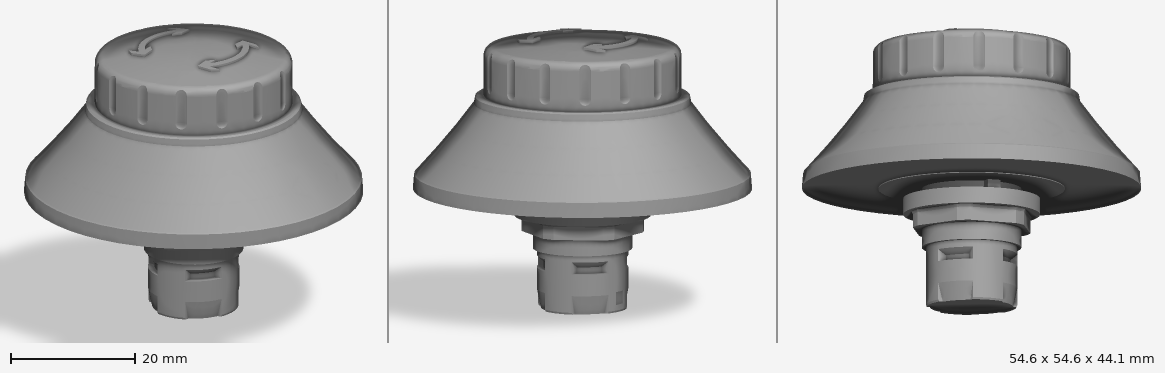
import cadquery as cq
import math

body_chamfer_height = 0.32
collar_bottom = 9.7
nut_bottom = 12.5
nut_flare_start = 14.65
washer_bottom = 15.1
washer_top = 17.7
gasket_bottom = 19.27
skirt_bottom = 19.4
skirt_rim_top = 22.0
skirt_chamfer_height = 0.17
shoulder_bottom = 33.4
shoulder_top = 34.7
knob_fillet_start = 41.27
knob_edge_top = 42.7
dome_top = 43.92
overall_height = 44.09

body_radius = 14.7 / 2
body_tip_radius = 7.22
collar_radius = 16.01 / 2
washer_radius = 22 / 2
gasket_radius = 30 / 2
skirt_radius = 54.6 / 2
skirt_rim_top_radius = 27.1
cone_bottom_radius = 26.9
cone_top_radius = 17.5
cone_hollow = 0.22
shoulder_top_radius = 17.3
shoulder_flat_radius = 16.95
shoulder_chamfer_height = 0.2
knob_radius = 31.8 / 2
knob_edge_radius = 14.65

nut_across_flats = 18.0
nut_corner_radius = 9.85
nut_flare = 0.2

key_reach = 9.5
key_width = 2.2

stem_feature_angles = [45, 135, 225, 315]
web_half_width = 2.6
wall_flare_angle = 9
window_bottom = 6.6
window_top = 8.55
window_inner_top = 7.6
window_floor_radius = 6.28
ramp_height = 3.05
ramp_tip_radius = 6.7

recess_size = 2.15
recess_center_height = 2.25
recess_depth = 0.3

groove_count = 15
groove_radius = 1.3
groove_depth = 0.42
groove_ball_height = 36.65

arrow_outer_mid_x = 8.82
arrow_inner_mid_x = 7.81
arrow_corner = (5.0, 6.95)
arrow_top_shoulder_x = 7.5
arrow_top_barb = (8.6, 6.05)
arrow_outer_root_x = 6.66
arrow_inner_root = (6.13, 4.95)
arrow_inner_barb_y = 3.35
arrow_side_shoulder_y = 4.6


def dome_rise_at(radius):
    """Height of the spherical dome above the knob edge at the given distance from the axis."""
    rise = dome_top - knob_edge_top
    sphere_radius = (knob_edge_radius**2 + rise**2) / (2 * rise)
    return rise - sphere_radius + math.sqrt(sphere_radius**2 - radius**2)


def turned_body():
    """Stem, washer, skirt, shoulder and domed knob as one revolved profile."""
    cone_run = cone_bottom_radius - cone_top_radius
    cone_rise = shoulder_bottom - skirt_rim_top
    cone_length = math.hypot(cone_run, cone_rise)
    cone_mid_radius = (cone_bottom_radius + cone_top_radius) / 2 - cone_hollow * cone_rise / cone_length
    cone_mid_height = (skirt_rim_top + shoulder_bottom) / 2 - cone_hollow * cone_run / cone_length
    dome_mid_radius = knob_edge_radius / 2
    dome_mid_height = knob_edge_top + dome_rise_at(dome_mid_radius)
    profile = (
        cq.Workplane("XZ")
        .moveTo(0, 0)
        .lineTo(body_tip_radius, 0)
        .lineTo(body_radius, body_chamfer_height)
        .lineTo(body_radius, collar_bottom)
        .lineTo(collar_radius, collar_bottom)
        .lineTo(collar_radius, washer_bottom)
        .lineTo(washer_radius, washer_bottom)
        .lineTo(washer_radius, washer_top)
        .lineTo(collar_radius, washer_top)
        .lineTo(collar_radius, gasket_bottom)
        .lineTo(gasket_radius, gasket_bottom)
        .lineTo(gasket_radius, skirt_bottom)
        .lineTo(skirt_radius, skirt_bottom)
        .lineTo(skirt_rim_top_radius, skirt_rim_top - skirt_chamfer_height)
        .lineTo(cone_bottom_radius, skirt_rim_top)
        .threePointArc((cone_mid_radius, cone_mid_height), (cone_top_radius, shoulder_bottom))
        .lineTo(shoulder_top_radius, shoulder_top - shoulder_chamfer_height)
        .lineTo(shoulder_flat_radius, shoulder_top)
        .lineTo(knob_radius, shoulder_top)
        .lineTo(knob_radius, knob_fillet_start)
        .tangentArcPoint((knob_edge_radius, knob_edge_top), relative=False)
        .threePointArc((dome_mid_radius, dome_mid_height), (0, dome_top))
        .close()
    )
    return profile.revolve(360, (0, 0), (0, 1))


def lifted_dome(lift):
    """Knob-edge disc under a copy of the dome surface raised by the given lift."""
    half_radius = knob_edge_radius / 2
    half_height = knob_edge_top + dome_rise_at(half_radius)
    return (
        cq.Workplane("XZ")
        .moveTo(0, shoulder_top)
        .lineTo(knob_edge_radius, shoulder_top)
        .lineTo(knob_edge_radius, knob_edge_top + lift)
        .threePointArc((half_radius, half_height + lift), (0, dome_top + lift))
        .close()
        .revolve(360, (0, 0), (0, 1))
    )


def nut():
    """Hexagon with corners on the Y axis, turned round at the corners and flared at the washer."""
    hex_diameter = nut_across_flats / math.cos(math.pi / 6)
    straight_height = nut_flare_start - nut_bottom
    flare_height = washer_bottom - nut_flare_start
    flare_angle = math.degrees(math.atan2(nut_flare, flare_height))
    hexagon = (
        cq.Workplane("XY", origin=(0, 0, nut_bottom))
        .transformed(rotate=(0, 0, 90))
        .polygon(6, hex_diameter)
        .extrude(straight_height)
    )
    flare = (
        cq.Workplane("XY", origin=(0, 0, nut_flare_start))
        .transformed(rotate=(0, 0, 90))
        .polygon(6, hex_diameter)
        .extrude(flare_height, taper=-flare_angle)
    )
    corner_turning = (
        cq.Workplane("XZ")
        .moveTo(0, nut_bottom)
        .lineTo(nut_corner_radius, nut_bottom)
        .lineTo(nut_corner_radius, nut_flare_start)
        .lineTo(nut_corner_radius + nut_flare, washer_bottom)
        .lineTo(0, washer_bottom)
        .close()
        .revolve(360, (0, 0), (0, 1))
    )
    return hexagon.union(flare).intersect(corner_turning)


def key():
    """Rectangular key between the washer and the skirt."""
    return (
        cq.Workplane("XY", origin=(0, 0, washer_top))
        .rect(key_reach, key_width)
        .extrude(skirt_bottom - washer_top)
        .translate((key_reach / 2, 0, 0))
    )


def ring_sector(section, angle):
    """Revolved (radius, height) section, limited to the wedge between two webs of the stem.

    The wedge opens at the given angle. Its walls start on the stem surface at the half width
    of the webs on the X and Y axes and lean towards each other as they go inwards.
    """
    lean = math.tan(math.radians(wall_flare_angle))
    wall_start = math.sqrt(body_radius**2 - web_half_width**2)
    apex = (web_half_width + wall_start * lean) / (1 + lean)
    near_edge = web_half_width - (washer_radius - wall_start) * lean
    ring = cq.Workplane("XZ").polyline(section).close().revolve(360, (0, 0), (0, 1))
    wedge = (
        cq.Workplane("XY")
        .moveTo(apex, apex)
        .lineTo(washer_radius, near_edge)
        .lineTo(washer_radius, washer_radius)
        .lineTo(near_edge, washer_radius)
        .close()
        .extrude(washer_top)
    )
    return ring.intersect(wedge.rotate((0, 0, 0), (0, 0, 1), angle - 45))


def window_cut(angle):
    """Latch window with a ceiling that slopes down towards its cylindrical floor."""
    section = [
        (window_floor_radius, window_bottom),
        (collar_radius, window_bottom),
        (collar_radius, window_top),
        (body_radius, window_top),
        (window_floor_radius, window_inner_top),
    ]
    return ring_sector(section, angle)


def ramp_cut(angle):
    """Lead-in ramp that deepens conically towards the lower end of the stem."""
    section = [
        (ramp_tip_radius, 0),
        (collar_radius, 0),
        (collar_radius, ramp_height),
        (body_radius, ramp_height),
    ]
    return ring_sector(section, angle)


def recess_cut():
    """Shallow square recess on the -X side of the stem."""
    return cq.Workplane("XY").box(2 * recess_depth, recess_size, recess_size).translate(
        (-body_radius, 0, recess_center_height)
    )


def groove_cut(angle):
    """Vertical round groove with a spherical lower end."""
    axis_radius = knob_radius - groove_depth + groove_radius
    axis_base = (axis_radius, 0, groove_ball_height)
    flute = (
        cq.Workplane("XY", origin=axis_base)
        .circle(groove_radius)
        .extrude(overall_height - groove_ball_height)
    )
    ball = cq.Workplane("XY", origin=axis_base).sphere(groove_radius)
    return flute.union(ball).rotate((0, 0, 0), (0, 0, 1), angle)


def arrow(side):
    """Double-headed curved arrow; side is +1 or -1 for the +X or -X half of the dome."""

    def upper(x, y):
        return (side * x, y)

    def lower(x, y):
        return (side * x, -y)

    corner_x, corner_y = arrow_corner
    barb_x, barb_y = arrow_top_barb
    inner_x, inner_y = arrow_inner_root
    outer_head = [
        (arrow_outer_root_x, barb_y),
        (barb_x, barb_y),
        (arrow_top_shoulder_x, corner_y),
        (corner_x, corner_y),
        (corner_x, arrow_side_shoulder_y),
        (inner_x, arrow_inner_barb_y),
        (inner_x, inner_y),
    ]
    outline = cq.Workplane("XY", origin=(0, 0, knob_edge_top)).moveTo(*upper(*outer_head[0]))
    for point in outer_head[1:]:
        outline = outline.lineTo(*upper(*point))
    outline = outline.threePointArc((side * arrow_inner_mid_x, 0), lower(inner_x, inner_y))
    for point in reversed(outer_head[:-1]):
        outline = outline.lineTo(*lower(*point))
    outline = outline.threePointArc((side * arrow_outer_mid_x, 0), upper(*outer_head[0])).close()
    prism = outline.extrude(overall_height - knob_edge_top)
    highest_point_radius = math.hypot(corner_x, arrow_side_shoulder_y)
    relief = overall_height - knob_edge_top - dome_rise_at(highest_point_radius)
    return prism.intersect(lifted_dome(relief))


result = turned_body().union(nut()).union(key())

for stem_angle in stem_feature_angles:
    result = result.cut(window_cut(stem_angle)).cut(ramp_cut(stem_angle))
result = result.cut(recess_cut())

groove_pitch = 360 / groove_count
for groove_index in range(groove_count):
    result = result.cut(groove_cut(groove_index * groove_pitch - 90))

for arrow_side in (-1, 1):
    result = result.union(arrow(arrow_side))